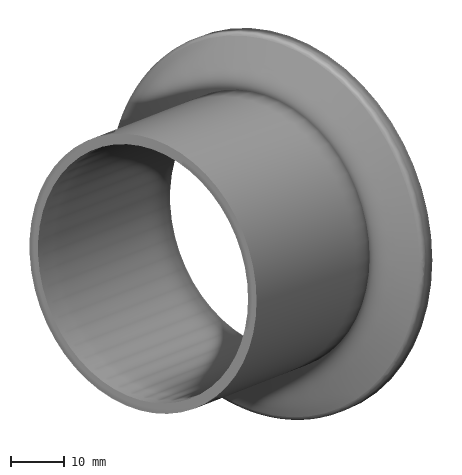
import cadquery as cq
import math

flange_radius = 37.5
tube_radius = 27.0
bore_radius = 25.0
total_length = 40.0
flange_depth = 5.8
cone_angle = 15.0
rim_round = 1.0
face_edge_round = 0.2

cone_depth = (flange_radius - tube_radius) * math.tan(math.radians(cone_angle))
rim_depth = flange_depth - cone_depth


def make_flange():
    """Disc with a conical back; sealing face on Y = 0, tube side toward -Y."""
    profile = (
        cq.Workplane("XY")
        .polyline([
            (0, 0),
            (flange_radius, 0),
            (flange_radius, -rim_depth),
            (tube_radius, -flange_depth),
            (0, -flange_depth),
        ])
        .close()
    )
    flange = profile.revolve(360, (0, 0, 0), (0, 1, 0))
    flange = flange.faces(">Y").edges().fillet(face_edge_round)
    rim_edge = cq.selectors.BoxSelector(
        (-2 * flange_radius, -rim_depth - rim_round / 2, -2 * flange_radius),
        (2 * flange_radius, -rim_depth + rim_round / 2, 2 * flange_radius),
        boundingbox=True,
    )
    return flange.edges(rim_edge).edges("%CIRCLE").fillet(rim_round)


def make_cylinder(radius):
    """Cylinder along the part axis over the full length."""
    return cq.Workplane("XZ").circle(radius).extrude(total_length)


result = make_flange().union(make_cylinder(tube_radius)).cut(make_cylinder(bore_radius))